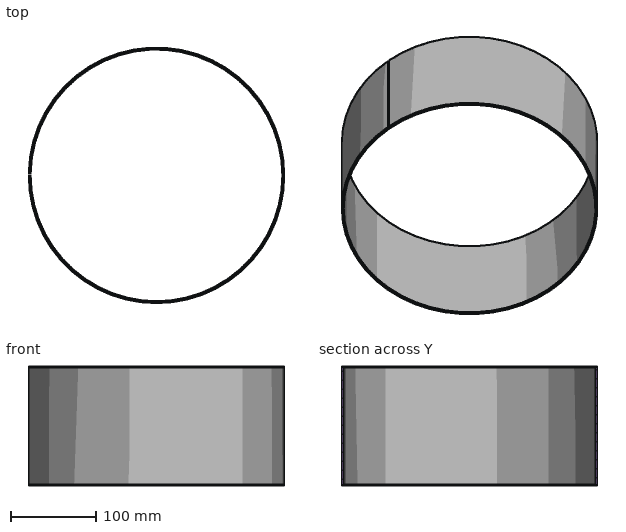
import cadquery as cq

outer_diameter = 300.0
height = 140.0
wall = 2.7

bevel_height = 1.8
bevel_depth = 0.65

slit_width = 2.55

outer_radius = outer_diameter / 2
inner_radius = outer_radius - wall


def make_ring():
    """Revolve the wall section, bevelled at all four corners, about Z."""
    outer_rim_radius = outer_radius - bevel_depth
    inner_rim_radius = inner_radius + bevel_depth
    upper_bevel_start = height - bevel_height
    section = (
        cq.Workplane("XZ")
        .moveTo(inner_rim_radius, 0)
        .lineTo(outer_rim_radius, 0)
        .lineTo(outer_radius, bevel_height)
        .lineTo(outer_radius, upper_bevel_start)
        .lineTo(outer_rim_radius, height)
        .lineTo(inner_rim_radius, height)
        .lineTo(inner_radius, upper_bevel_start)
        .lineTo(inner_radius, bevel_height)
        .close()
    )
    return section.revolve(360, (0, 0, 0), (0, 1, 0))


def make_slit():
    """Block that splits the wall over its full height."""
    block = cq.Workplane("XY").box(outer_radius, slit_width, height, centered=False)
    return block.translate((-outer_radius, 0, 0))


result = make_ring().cut(make_slit())